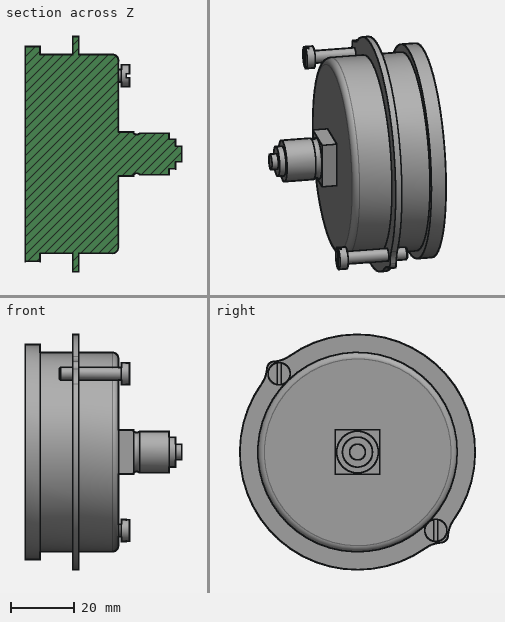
import cadquery as cq
import math


bezel_diameter = 68.0
bezel_length = 4.75
case_diameter = 63.0
case_back_x = 29.5
case_back_radius = 2.0

plate_front_x = 15.0
plate_thickness = 2.0
plate_radius = 37.2
lug_tip_radius = 2.5
lug_tip_distance = 37.0
lug_blend_radius = 9.0
lug_angle = 135.0

screw_circle_radius = 35.0
screw_diameter = 4.0
screw_tip_x = 10.8
screw_tip_chamfer = 0.4
screw_head_diameter = 7.0
screw_head_x = 30.4
screw_head_height = 2.6
slot_width = 1.2
slot_depth = 1.0

square_width = 14.0
square_length = 4.8
neck_length = 1.9
neck_groove_depth = 0.4
thread_diameter = 13.16
spigot_diameter = 9.5
pilot_diameter = 5.0
step_length = 2.0
overall_length = 49.5

square_end_x = case_back_x + square_length
neck_end_x = square_end_x + neck_length
pilot_start_x = overall_length - step_length
thread_end_x = pilot_start_x - step_length


def section_at(x):
    """Workplane across the gauge axis: local x is +Y, local y is +Z, normal is +X."""
    return cq.Workplane("YZ", origin=(x, 0, 0))


def cylinder(start_x, end_x, diameter):
    return section_at(start_x).circle(diameter / 2).extrude(end_x - start_x)


def polar(radius, angle):
    return (radius * math.cos(angle), radius * math.sin(angle))


def make_case():
    bezel = cylinder(0, bezel_length, bezel_diameter)
    body = cylinder(0, case_back_x, case_diameter).faces(">X").edges().fillet(case_back_radius)
    return bezel.union(body)


def make_plate():
    """Round plate whose lug tips blend into the rim through tangent concave arcs."""
    rim_side = plate_radius + lug_blend_radius
    tip_side = lug_tip_radius + lug_blend_radius
    rim_cosine = (rim_side**2 + lug_tip_distance**2 - tip_side**2) / (2 * rim_side * lug_tip_distance)
    rim_angle = math.acos(rim_cosine)
    blend_centre = polar(rim_side, rim_angle)
    tip_angle = math.atan2(blend_centre[1], blend_centre[0] - lug_tip_distance)

    rim_point = polar(plate_radius, rim_angle)
    tip_offset = polar(lug_tip_radius, tip_angle)
    tip_point = (lug_tip_distance + tip_offset[0], tip_offset[1])
    blend_middle_angle = (rim_angle + tip_angle) / 2 + math.pi
    blend_offset = polar(lug_blend_radius, blend_middle_angle)
    blend_point = (blend_centre[0] + blend_offset[0], blend_centre[1] + blend_offset[1])
    lug_end = (lug_tip_distance + lug_tip_radius, 0)

    def below(point):
        return (point[0], -point[1])

    def opposite(point):
        return (-point[0], -point[1])

    outline = (
        section_at(plate_front_x)
        .moveTo(*below(rim_point))
        .threePointArc(below(blend_point), below(tip_point))
        .threePointArc(lug_end, tip_point)
        .threePointArc(blend_point, rim_point)
        .threePointArc((0, plate_radius), opposite(below(rim_point)))
        .threePointArc(opposite(below(blend_point)), opposite(below(tip_point)))
        .threePointArc(opposite(lug_end), opposite(tip_point))
        .threePointArc(opposite(blend_point), opposite(rim_point))
        .threePointArc((0, -plate_radius), below(rim_point))
        .close()
    )
    return outline.extrude(plate_thickness).rotate((0, 0, 0), (1, 0, 0), lug_angle)


def make_screw():
    """Slotted cheese-head screw on the gauge axis, with its slot along Z."""
    head_end_x = screw_head_x + screw_head_height
    shank = cylinder(screw_tip_x, screw_head_x, screw_diameter)
    shank = shank.faces("<X").edges().chamfer(screw_tip_chamfer)
    head = cylinder(screw_head_x, head_end_x, screw_head_diameter)
    slot = section_at(head_end_x).rect(slot_width, screw_head_diameter).extrude(-slot_depth)
    return shank.union(head.cut(slot))


def make_connection():
    square = section_at(case_back_x).rect(square_width, square_width).extrude(square_length)
    neck_radius = thread_diameter / 2
    neck = (
        cq.Workplane("XY")
        .moveTo(square_end_x, 0)
        .lineTo(square_end_x, neck_radius)
        .threePointArc(
            ((square_end_x + neck_end_x) / 2, neck_radius - neck_groove_depth),
            (neck_end_x, neck_radius),
        )
        .lineTo(neck_end_x, 0)
        .close()
        .revolve(360, (0, 0, 0), (1, 0, 0))
    )
    thread = cylinder(neck_end_x, thread_end_x, thread_diameter)
    spigot = cylinder(thread_end_x, pilot_start_x, spigot_diameter)
    pilot = cylinder(pilot_start_x, overall_length, pilot_diameter)
    return square.union(neck).union(thread).union(spigot).union(pilot)


result = make_case().union(make_plate()).union(make_connection())
screw = make_screw()
for angle in (lug_angle, lug_angle + 180):
    screw_y, screw_z = polar(screw_circle_radius, math.radians(angle))
    result = result.union(screw.translate((0, screw_y, screw_z)))